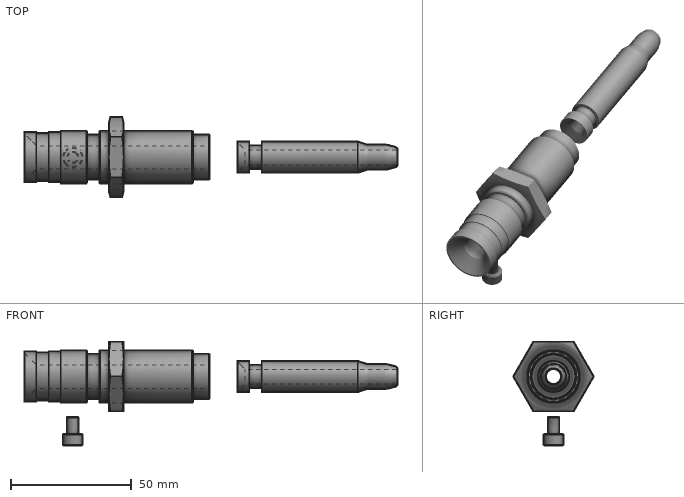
import cadquery as cq
import math

TOTAL_LENGTH = 154.8
OVERALL_HEIGHT = 43.2

HOUSING_LENGTH = 77.0
LIP_END = 5.0
BAND_START = 10.0
BAND_END = 15.0
RETAINING_GROOVE_START = 26.0
RETAINING_GROOVE_END = 31.0
SPIGOT_START = 70.0
HOUSING_RADIUS = 11.0
LIP_RADIUS = 10.5
WAIST_RADIUS = 10.0
SPIGOT_RADIUS = 9.5
HOUSING_CHAMFER = 0.5
BORE_RADIUS = 4.8
FUNNEL_RADIUS = 9.8
FUNNEL_DEPTH = 5.0

NUT_START = 35.0
NUT_END = 41.2
NUT_SIDES = 6
NUT_ACROSS_CORNERS = 33.5
NUT_FLAT_HEIGHT = NUT_ACROSS_CORNERS / 2 * math.cos(math.pi / NUT_SIDES)
NUT_FACE_RADIUS = 14.2
NUT_CHAMFER_ANGLE = 15.0

PIN_LENGTH = 66.5
PIN_HEAD_END = 5.0
PIN_GROOVE_END = 10.0
PIN_BODY_END = 50.0
SHOULDER_CONE_END = 53.3
NECK_START = 54.7
NECK_END = 61.2
TIP_CONE_START = 63.0
TIP_ROUND_START = 65.3
PIN_RADIUS = 6.5
PIN_GROOVE_RADIUS = 5.0
SHOULDER_CONE_END_RADIUS = 5.4
NECK_RADIUS = 5.3
TIP_CONE_START_RADIUS = 5.0
TIP_ROUND_START_RADIUS = 4.3
TIP_RADIUS = 3.4
PIN_HOLE_RADIUS = 3.1
PIN_FUNNEL_RADIUS = 6.2
PIN_FUNNEL_DEPTH = 3.1

SCREW_X = 20.0
SCREW_BASE_Z = NUT_FLAT_HEIGHT - OVERALL_HEIGHT
SCREW_LENGTH = 12.1
SCREW_HEAD_HEIGHT = 5.0
SCREW_HEAD_RADIUS = 4.2
SCREW_SHANK_RADIUS = 2.5
SCREW_CHAMFER = 0.5


def turned_on_x(profile):
    """Revolve a closed (x, radius) profile about the X axis."""
    return profile.close().revolve(360, (0, 0, 0), (1, 0, 0))


def funnel(mouth_radius, hole_radius, depth):
    """Cone that narrows from its mouth at x = 0 to the hole."""
    return turned_on_x(
        cq.Workplane("XY").moveTo(0, 0).lineTo(0, mouth_radius).lineTo(depth, hole_radius).lineTo(depth, 0)
    )


def through_hole(radius, length):
    return cq.Workplane("YZ").circle(radius).extrude(length)


def make_housing():
    chamfer = HOUSING_CHAMFER
    outside = turned_on_x(
        cq.Workplane("XY")
        .moveTo(0, 0)
        .lineTo(0, LIP_RADIUS)
        .lineTo(LIP_END, LIP_RADIUS)
        .lineTo(LIP_END, WAIST_RADIUS)
        .lineTo(BAND_START, WAIST_RADIUS)
        .lineTo(BAND_START, LIP_RADIUS)
        .lineTo(BAND_END, LIP_RADIUS)
        .lineTo(BAND_END, HOUSING_RADIUS)
        .lineTo(RETAINING_GROOVE_START - chamfer, HOUSING_RADIUS)
        .lineTo(RETAINING_GROOVE_START, HOUSING_RADIUS - chamfer)
        .lineTo(RETAINING_GROOVE_START, SPIGOT_RADIUS)
        .lineTo(RETAINING_GROOVE_END, SPIGOT_RADIUS)
        .lineTo(RETAINING_GROOVE_END, HOUSING_RADIUS - chamfer)
        .lineTo(RETAINING_GROOVE_END + chamfer, HOUSING_RADIUS)
        .lineTo(SPIGOT_START - chamfer, HOUSING_RADIUS)
        .lineTo(SPIGOT_START, HOUSING_RADIUS - chamfer)
        .lineTo(SPIGOT_START, SPIGOT_RADIUS)
        .lineTo(HOUSING_LENGTH - chamfer, SPIGOT_RADIUS)
        .lineTo(HOUSING_LENGTH, SPIGOT_RADIUS - chamfer)
        .lineTo(HOUSING_LENGTH, 0)
    )
    bored = outside.cut(through_hole(BORE_RADIUS, HOUSING_LENGTH))
    return bored.cut(funnel(FUNNEL_RADIUS, BORE_RADIUS, FUNNEL_DEPTH))


def make_nut():
    corner_radius = NUT_ACROSS_CORNERS / 2
    corner_drop = (corner_radius - NUT_FACE_RADIUS) * math.tan(math.radians(NUT_CHAMFER_ANGLE))
    hexagon = (
        cq.Workplane("YZ", origin=(NUT_START, 0, 0))
        .polygon(NUT_SIDES, NUT_ACROSS_CORNERS)
        .circle(HOUSING_RADIUS)
        .extrude(NUT_END - NUT_START)
    )
    coned_blank = turned_on_x(
        cq.Workplane("XY")
        .moveTo(NUT_START, 0)
        .lineTo(NUT_START, NUT_FACE_RADIUS)
        .lineTo(NUT_START + corner_drop, corner_radius)
        .lineTo(NUT_END - corner_drop, corner_radius)
        .lineTo(NUT_END, NUT_FACE_RADIUS)
        .lineTo(NUT_END, 0)
    )
    return hexagon.intersect(coned_blank)


def make_pin():
    outside = turned_on_x(
        cq.Workplane("XY")
        .moveTo(0, 0)
        .lineTo(0, PIN_RADIUS)
        .lineTo(PIN_HEAD_END, PIN_RADIUS)
        .lineTo(PIN_HEAD_END, PIN_GROOVE_RADIUS)
        .lineTo(PIN_GROOVE_END, PIN_GROOVE_RADIUS)
        .lineTo(PIN_GROOVE_END, PIN_RADIUS)
        .lineTo(PIN_BODY_END, PIN_RADIUS)
        .lineTo(SHOULDER_CONE_END, SHOULDER_CONE_END_RADIUS)
        .tangentArcPoint((NECK_START, NECK_RADIUS), relative=False)
        .lineTo(NECK_END, NECK_RADIUS)
        .tangentArcPoint((TIP_CONE_START, TIP_CONE_START_RADIUS), relative=False)
        .lineTo(TIP_ROUND_START, TIP_ROUND_START_RADIUS)
        .tangentArcPoint((PIN_LENGTH, TIP_RADIUS), relative=False)
        .lineTo(PIN_LENGTH, 0)
    )
    bored = outside.cut(through_hole(PIN_HOLE_RADIUS, PIN_LENGTH))
    hollow = bored.cut(funnel(PIN_FUNNEL_RADIUS, PIN_HOLE_RADIUS, PIN_FUNNEL_DEPTH))
    return hollow.translate((TOTAL_LENGTH - PIN_LENGTH, 0, 0))


def make_screw():
    head = (
        cq.Workplane("XY")
        .circle(SCREW_HEAD_RADIUS)
        .extrude(SCREW_HEAD_HEIGHT)
        .edges()
        .chamfer(SCREW_CHAMFER)
    )
    shank = (
        cq.Workplane("XY")
        .circle(SCREW_SHANK_RADIUS)
        .extrude(SCREW_LENGTH)
        .faces(">Z")
        .chamfer(SCREW_CHAMFER)
    )
    return head.union(shank).translate((SCREW_X, 0, SCREW_BASE_Z))


housing = make_housing()
nut = make_nut()
pin = make_pin()
screw = make_screw()

result = cq.Compound.makeCompound([housing.val(), nut.val(), pin.val(), screw.val()])